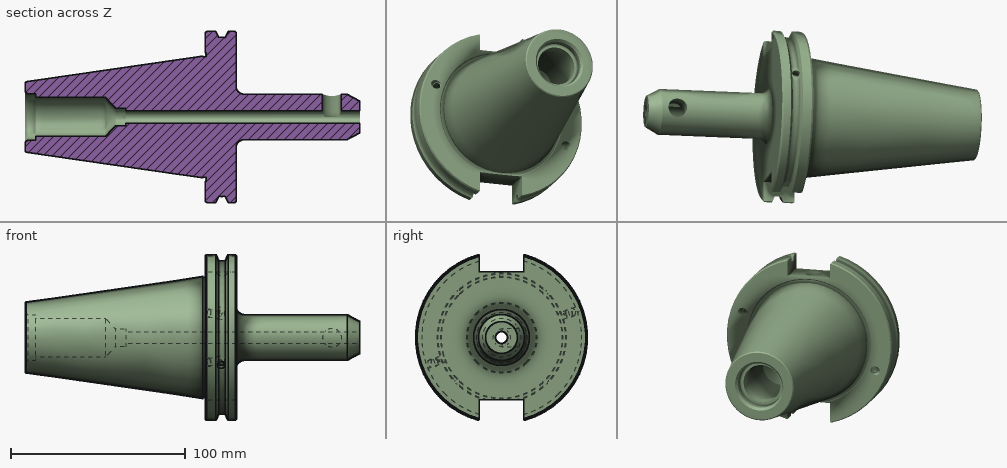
import cadquery as cq
import math

total_length = 191.6
taper_length = 101.7
taper_small_diameter = 40.6
taper_large_diameter = 70.0
taper_end_chamfer = 0.5
neck_diameter = 69.2

flange_front = 103.0
flange_width = 18.0
flange_back = flange_front + flange_width
flange_diameter = 98.3
front_rim_length = 1.0
front_rim_height = 0.5
back_rim_chamfer = 1.0
recess_diameter = 74.0
recess_floor_diameter = 72.8
recess_depth = 0.4
groove_center = flange_front + 9.5
groove_floor_diameter = 91.4
groove_floor_width = 3.6
groove_mouth_width = 6.9

nose_diameter = 26.2
nose_root_diameter = 32.0
nose_root_radius = 5.0
nose_end = 184.3
tip_start = 184.9
tip_start_diameter = 25.5
tip_edge = 190.5
tip_edge_diameter = 19.5
tip_diameter = 18.2

bore_mouth_diameter = 28.7
bore_mouth_depth = 1.5
counterbore_diameter = 26.2
counterbore_depth = 6.0
thread_bore_diameter = 22.0
thread_bore_depth = 46.0
channel_entry_diameter = 10.0
channel_entry_start = 51.7
channel_entry_end = 57.5
channel_diameter = 6.7

slot_width = 25.3
slot_rim_chamfer = 0.5
upper_slot_floor = 37.7
lower_slot_floor = 35.6
dimple_diameter = 9.5
drill_point_angle = 118

coolant_angle = 20
face_hole_diameter = 5.0
face_hole_radius = 42.0
face_hole_tilt = 30
face_hole_depth = 2.3
feed_hole_diameter = 4.2
feed_hole_depth = 11.5
groove_hole_center = groove_center - 0.4
groove_hole_diameter = 4.2
groove_hole_depth = 4.8
hole_overshoot = 3.8

screw_hole_diameter = 10.7
screw_hole_center = 175.5


def revolve_about_x(profile):
    return profile.close().revolve(360, (0, 0, 0), (1, 0, 0))


def as_outline(stations):
    """Turn (axial position, diameter) stations into points of a half section."""
    return [(x, diameter / 2) for x, diameter in stations]


def make_cylinder(diameter, depth, center, direction):
    return cq.Workplane(cq.Solid.makeCylinder(diameter / 2, depth, center, direction))


def make_body():
    floor_half = groove_floor_width / 2
    mouth_half = groove_mouth_width / 2
    recess_floor = flange_front + recess_depth
    rear_stations = [
        (0, taper_small_diameter - 2 * taper_end_chamfer),
        (taper_end_chamfer, taper_small_diameter),
        (taper_length, taper_large_diameter),
        (taper_length, neck_diameter),
        (recess_floor, neck_diameter),
        (recess_floor, recess_floor_diameter),
        (flange_front, recess_diameter),
        (flange_front, flange_diameter - 2 * front_rim_height),
        (flange_front + front_rim_length, flange_diameter),
        (groove_center - mouth_half, flange_diameter),
        (groove_center - floor_half, groove_floor_diameter),
        (groove_center + floor_half, groove_floor_diameter),
        (groove_center + mouth_half, flange_diameter),
        (flange_back - back_rim_chamfer, flange_diameter),
        (flange_back, flange_diameter - 2 * back_rim_chamfer),
        (flange_back, nose_root_diameter),
    ]
    rise = (nose_root_diameter - nose_diameter) / 2
    drop = nose_root_radius - rise
    root_length = math.sqrt(nose_root_radius**2 - drop**2)
    root_end = (flange_back + root_length, nose_diameter / 2)
    half_sweep = math.acos(drop / nose_root_radius) / 2
    root_middle = (
        root_end[0] - nose_root_radius * math.sin(half_sweep),
        root_end[1] + nose_root_radius * (1 - math.cos(half_sweep)),
    )
    front_stations = [
        (nose_end, nose_diameter),
        (tip_start, tip_start_diameter),
        (tip_edge, tip_edge_diameter),
        (total_length, tip_diameter),
        (total_length, 0),
    ]
    profile = cq.Workplane("XY").polyline([(0, 0)] + as_outline(rear_stations))
    profile = profile.threePointArc(root_middle, root_end)
    for point in as_outline(front_stations):
        profile = profile.lineTo(*point)
    return revolve_about_x(profile)


def make_bore():
    stations = [
        (0, 0),
        (0, bore_mouth_diameter),
        (bore_mouth_depth, counterbore_diameter),
        (counterbore_depth, counterbore_diameter),
        (counterbore_depth, thread_bore_diameter),
        (thread_bore_depth, thread_bore_diameter),
        (channel_entry_start, channel_entry_diameter),
        (channel_entry_end, channel_entry_diameter),
        (channel_entry_end, channel_diameter),
        (total_length, channel_diameter),
        (total_length, 0),
    ]
    return revolve_about_x(cq.Workplane("XY").polyline(as_outline(stations)))


def make_drive_slot(floor_height):
    """Slot open towards +Z whose walls flare out at the flange rim."""
    half = slot_width / 2
    flare_half = half + slot_rim_chamfer
    rim_height = math.sqrt((flange_diameter / 2) ** 2 - flare_half**2)
    flare_start = rim_height - slot_rim_chamfer
    section = [
        (-half, floor_height),
        (half, floor_height),
        (half, flare_start),
        (flare_half, rim_height),
        (flare_half, flange_diameter),
        (-flare_half, flange_diameter),
        (-flare_half, rim_height),
        (-half, flare_start),
    ]
    slot = cq.Workplane("YZ").workplane(offset=flange_front).polyline(section).close()
    return slot.extrude(flange_width)


def make_dimple():
    radius = dimple_diameter / 2
    depth = radius / math.tan(math.radians(drill_point_angle / 2))
    center = cq.Vector(groove_center, 0, upper_slot_floor)
    return cq.Workplane(cq.Solid.makeCone(radius, 0, depth, center, cq.Vector(0, 0, -1)))


def make_coolant_holes():
    """A stepped, tilted hole in the flange face and a radial one in the groove, on opposite sides."""
    tilt = math.radians(face_hole_tilt)
    inward = cq.Vector(math.cos(tilt), -math.sin(tilt), 0)
    face_center = cq.Vector(flange_front, face_hole_radius, 0)
    face_start = face_center - inward * hole_overshoot
    face_hole = make_cylinder(face_hole_diameter, face_hole_depth + hole_overshoot, face_start, inward)
    feed_hole = make_cylinder(feed_hole_diameter, feed_hole_depth, face_center, inward)

    groove_start = cq.Vector(groove_hole_center, groove_floor_diameter / 2 + hole_overshoot, 0)
    groove_hole = make_cylinder(
        groove_hole_diameter, groove_hole_depth + hole_overshoot, groove_start, cq.Vector(0, -1, 0)
    )
    one_side = face_hole.union(feed_hole).union(groove_hole)
    one_side = one_side.rotate((0, 0, 0), (1, 0, 0), coolant_angle)
    return one_side.union(one_side.rotate((0, 0, 0), (1, 0, 0), 180))


def make_screw_hole():
    """Radial hole from the +Y side of the nose down to the axial channel."""
    center = cq.Vector(screw_hole_center, 0, 0)
    return make_cylinder(screw_hole_diameter, nose_diameter, center, cq.Vector(0, 1, 0))


upper_slot = make_drive_slot(upper_slot_floor)
lower_slot = make_drive_slot(lower_slot_floor).rotate((0, 0, 0), (1, 0, 0), 180)

result = (
    make_body()
    .cut(make_bore())
    .cut(upper_slot)
    .cut(lower_slot)
    .cut(make_dimple())
    .cut(make_coolant_holes())
    .cut(make_screw_hole())
)